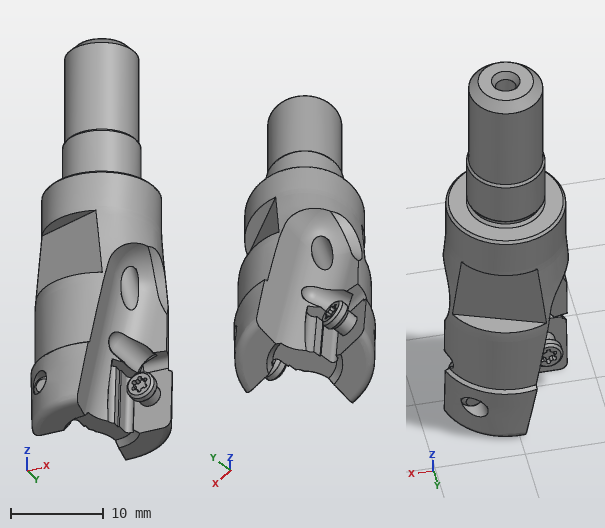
import cadquery as cq
import math

LENGTH = 46.7
SHANK_R = 4.0
SHANK_CHAMFER = 1.05
PILOT_R = 4.25
PILOT_TOP_Z = 35.0
PILOT_BOTTOM_Z = 29.65
PILOT_CHAMFER = 0.3
NECK_R = 3.9
NECK_FLARE = 0.35
SHOULDER_R = 6.5
SHOULDER_TOP_Z = 28.65
SHOULDER_CHAMFER = 0.3
CONE_TOP_Z = 23.7
CONE_BOTTOM_Z = 14.85
CONE_BLEND = 0.45
BODY_R = 7.25
HEAD_TOP_Z = 6.95
HEAD_STEP = 0.3
HEAD_TOP_R = 7.65
HEAD_BOTTOM_R = 7.55
NOSE_FILLET = 0.9
NOSE_RECESS_DEPTH = 0.65
NOSE_RECESS_TOP_R = 3.45

FLAT_DISTANCE = 5.0
FLAT_BOTTOM_Z = 15.75
FLAT_TOP_Z = 23.7
FLAT_ANGLE = -20.0

BORE_R = 1.1
BORE_MOUTH_R = 1.55
BORE_MOUTH_DEPTH = 0.85
BORE_BOTTOM_Z = 28.95
BRANCH_START = cq.Vector(0, 0, 29.88)
BRANCH_EXIT = cq.Vector(-3.85, 0.8, 16.35)
BRANCH_R = 1.15

FLUTE_R = 4.2
FLUTE_ROUND_START = cq.Vector(-3.17, 3.4, 17.0)
FLUTE_DEPTH_TILT = 11.1
FLUTE_SIDE_TILT = 1.3
FLUTE_TURN = 10.0
FLUTE_REACH = 14.0
FLUTE_DROP = 28.0
FLARE_TIP = cq.Vector(-4.0, 1.6, 16.7)
FLARE_SLOPE = 1.45
FLARE_LENGTH = 5.6

SEAT_Y = -2.05
SEAT_TILT = 3.5
SEAT_INNER_X = -2.75
POCKET_WALL_X = -1.75
POCKET_STEP_X = -1.55
POCKET_LEDGE = 1.25
HOLLOW_START = 2.15
POCKET_HEIGHT = 3.75
HOLLOW_X = -1.1
NOSE_MARGIN = 2.35
POCKET_TOP_Z = 7.7
RELIEF_R = 0.75
RELIEF_INNER_X = -3.5
RELIEF_Y = -2.47
RELIEF_Z = 8.2
RELIEF_OPENING = 1.4
GOUGE_R = 1.5
GOUGE_START = cq.Vector(-2.95, 1.07, 9.7)
GOUGE_END = cq.Vector(-4.5, -2.05, 8.1)

SCREW_X = -4.65
SCREW_Z = 4.57
SCREW_R = 1.25
SCREW_TIP_R = 0.8
SCREW_TIP_Y = -5.05
HEAD_R = 1.65
HEAD_TOP_Y = 0.37
HEAD_EDGE = 0.3
HEAD_RIM = 0.7
HEAD_CONE = 0.4
TORX_R = 1.0
TORX_LOBE_R = 0.21
TORX_CORE_R = 0.7
TORX_DEPTH = 0.7
THROUGH = 18.65


def turned_blank():
    cone_angle = math.atan2(BODY_R - SHOULDER_R, CONE_TOP_Z - CONE_BOTTOM_Z)
    blend_in = CONE_BLEND * math.sin(cone_angle)
    blend_up = CONE_BLEND * math.cos(cone_angle)
    neck_top = PILOT_BOTTOM_Z - PILOT_CHAMFER
    profile = (
        cq.Workplane("XZ")
        .moveTo(0, 0)
        .lineTo(HEAD_BOTTOM_R - NOSE_FILLET, 0)
        .radiusArc((HEAD_BOTTOM_R, NOSE_FILLET), -NOSE_FILLET)
        .lineTo(HEAD_TOP_R, HEAD_TOP_Z)
        .lineTo(BODY_R, HEAD_TOP_Z + HEAD_STEP)
        .lineTo(BODY_R, CONE_BOTTOM_Z - CONE_BLEND)
        .tangentArcPoint((BODY_R - blend_in, CONE_BOTTOM_Z + blend_up), relative=False)
        .lineTo(SHOULDER_R + blend_in, CONE_TOP_Z - blend_up)
        .tangentArcPoint((SHOULDER_R, CONE_TOP_Z + CONE_BLEND), relative=False)
        .lineTo(SHOULDER_R, SHOULDER_TOP_Z - SHOULDER_CHAMFER)
        .lineTo(SHOULDER_R - SHOULDER_CHAMFER, SHOULDER_TOP_Z)
        .lineTo(NECK_R + NECK_FLARE, SHOULDER_TOP_Z)
        .lineTo(NECK_R, SHOULDER_TOP_Z + NECK_FLARE)
        .lineTo(NECK_R, neck_top)
        .lineTo(PILOT_R - PILOT_CHAMFER, neck_top)
        .lineTo(PILOT_R, PILOT_BOTTOM_Z)
        .lineTo(PILOT_R, PILOT_TOP_Z - PILOT_CHAMFER)
        .lineTo(SHANK_R, PILOT_TOP_Z)
        .lineTo(SHANK_R, LENGTH - SHANK_CHAMFER)
        .lineTo(SHANK_R - SHANK_CHAMFER, LENGTH)
        .lineTo(0, LENGTH)
        .close()
    )
    return profile.revolve(360, (0, 0, 0), (0, 1, 0))


def rod(start, end, radius):
    axis = end - start
    return cq.Workplane(cq.Solid.makeCylinder(radius, axis.Length, start, axis))


def half_turn(shape):
    return shape.rotate((0, 0, 0), (0, 0, 1), 180)


def coolant_bore():
    mouth_base = cq.Vector(0, 0, LENGTH - BORE_MOUTH_DEPTH)
    mouth = cq.Solid.makeCone(BORE_R, BORE_MOUTH_R, BORE_MOUTH_DEPTH, mouth_base)
    return rod(cq.Vector(0, 0, BORE_BOTTOM_Z), cq.Vector(0, 0, LENGTH), BORE_R).union(cq.Workplane(mouth))


def coolant_branch():
    direction = (BRANCH_EXIT - BRANCH_START).normalized()
    return rod(BRANCH_START, BRANCH_EXIT + direction * BRANCH_R * 4, BRANCH_R)


def nose_recess():
    return cq.Workplane(
        cq.Solid.makeCone(NOSE_RECESS_TOP_R + NOSE_RECESS_DEPTH, NOSE_RECESS_TOP_R, NOSE_RECESS_DEPTH)
    )


def wrench_flat():
    slab = cq.Workplane("XY").box(
        THROUGH, THROUGH, FLAT_TOP_Z - FLAT_BOTTOM_Z, centered=(True, False, False)
    )
    return slab.translate((0, FLAT_DISTANCE, FLAT_BOTTOM_Z)).rotate((0, 0, 0), (0, 0, 1), FLAT_ANGLE)


def flute():
    block = (
        cq.Workplane("XY")
        .box(FLUTE_REACH, FLUTE_REACH, FLUTE_DROP, centered=False)
        .translate((-FLUTE_REACH, -FLUTE_R, FLUTE_R - FLUTE_DROP))
    )
    block = block.edges("(>X and >Z) or (>X and <Y) or (<Y and >Z)").fillet(FLUTE_R)
    return (
        block.rotate((0, 0, 0), (1, 0, 0), FLUTE_SIDE_TILT)
        .rotate((0, 0, 0), (0, 1, 0), -FLUTE_DEPTH_TILT)
        .rotate((0, 0, 0), (0, 0, 1), FLUTE_TURN)
        .translate(FLUTE_ROUND_START)
    )


def flute_flare():
    cone = cq.Solid.makeCone(0, FLARE_SLOPE * FLARE_LENGTH, FLARE_LENGTH, FLARE_TIP, cq.Vector(-1, 0, 0))
    return cq.Workplane(cone)


def insert_pocket():
    outline = (
        cq.Workplane("XY")
        .moveTo(-THROUGH, 0)
        .lineTo(POCKET_WALL_X, 0)
        .lineTo(POCKET_WALL_X, POCKET_LEDGE)
        .lineTo(POCKET_STEP_X, POCKET_LEDGE)
        .lineTo(POCKET_STEP_X, HOLLOW_START)
        .threePointArc((HOLLOW_X, (HOLLOW_START + POCKET_HEIGHT) / 2), (POCKET_WALL_X, POCKET_HEIGHT))
        .lineTo(-THROUGH, POCKET_HEIGHT)
        .close()
    )
    groove_r = (POCKET_WALL_X - SEAT_INNER_X) / 2
    groove = cq.Workplane("XY").center(SEAT_INNER_X + groove_r, 0).circle(groove_r)
    pocket_length = POCKET_TOP_Z + NOSE_MARGIN
    pocket = outline.extrude(pocket_length).union(groove.extrude(pocket_length)).translate((0, 0, -NOSE_MARGIN))
    pocket = pocket.rotate((0, 0, 0), (1, 0, 0), SEAT_TILT).translate((0, SEAT_Y, 0))
    gouge = rod(GOUGE_START, GOUGE_END, GOUGE_R)
    gouge_tip = cq.Workplane("XY").sphere(GOUGE_R).translate(GOUGE_START)
    return pocket.union(gouge).union(gouge_tip)


def seat_relief():
    inner_end = cq.Vector(RELIEF_INNER_X, RELIEF_Y, RELIEF_Z)
    round_end = rod(inner_end - cq.Vector(THROUGH, 0, 0), inner_end, RELIEF_R)
    opening = cq.Workplane("XY").box(THROUGH, RELIEF_OPENING, 2 * RELIEF_R, centered=(False, False, True))
    return round_end.union(opening.translate(inner_end - cq.Vector(THROUGH, 0, 0)))


def place_on_screw_axis(shape):
    return shape.rotate((0, 0, 0), (1, 0, 0), SEAT_TILT - 90).translate((SCREW_X, 0, SCREW_Z))


def screw_hole():
    return place_on_screw_axis(cq.Workplane("XY").circle(SCREW_R).extrude(-THROUGH))


def screw():
    tip_chamfer = SCREW_R - SCREW_TIP_R
    rim_top = HEAD_TOP_Y - HEAD_EDGE
    rim_bottom = rim_top - HEAD_RIM
    blank = (
        cq.Workplane("XZ")
        .moveTo(0, SCREW_TIP_Y)
        .lineTo(SCREW_TIP_R, SCREW_TIP_Y)
        .lineTo(SCREW_R, SCREW_TIP_Y + tip_chamfer)
        .lineTo(SCREW_R, rim_bottom - HEAD_CONE)
        .lineTo(HEAD_R, rim_bottom)
        .lineTo(HEAD_R, rim_top)
        .lineTo(HEAD_R - HEAD_EDGE, HEAD_TOP_Y)
        .lineTo(0, HEAD_TOP_Y)
        .close()
        .revolve(360, (0, 0, 0), (0, 1, 0))
    )
    socket = (
        cq.Workplane("XY", origin=(0, 0, HEAD_TOP_Y))
        .circle(TORX_CORE_R)
        .extrude(-TORX_DEPTH)
    )
    lobes = (
        cq.Workplane("XY", origin=(0, 0, HEAD_TOP_Y))
        .polarArray(TORX_R - TORX_LOBE_R, 90, 360, 6)
        .circle(TORX_LOBE_R)
        .extrude(-TORX_DEPTH)
    )
    return place_on_screw_axis(blank.cut(socket).cut(lobes))


holder = turned_blank().cut(coolant_bore()).cut(nose_recess())
for feature in [
    wrench_flat(),
    flute(),
    flute_flare(),
    coolant_branch(),
    insert_pocket(),
    seat_relief(),
    screw_hole(),
]:
    holder = holder.cut(feature).cut(half_turn(feature))

screws = [screw(), half_turn(screw())]

result = cq.Compound.makeCompound([holder.val(), *[s.val() for s in screws]])